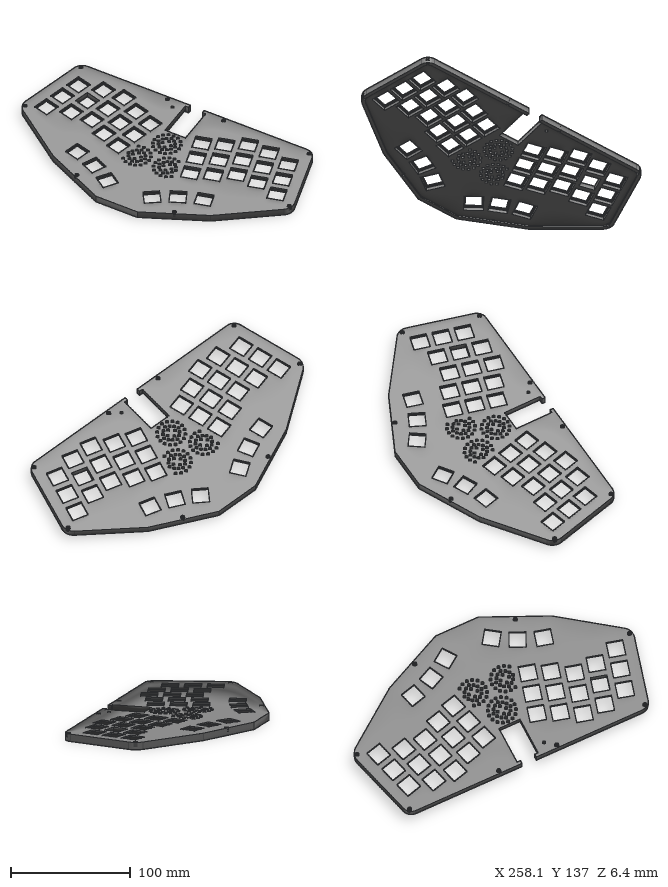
import cadquery as cq
import math

WIDTH = 258.09
DEPTH = 137.0
THICKNESS = 6.4
SIDE_ANGLE = 15.0
FRONT_FLAT_WIDTH = 39.6
FRONT_BEND = (75.4, -42.4)
FRONT_EDGE_ANGLE = 36.6
REAR_CORNER_RADIUS = 9.0
SIDE_CORNER_RADIUS = 10.8
TOP = THICKNESS / 2
REAR = DEPTH / 2

TAB_LENGTH = 3.0
RIM_WIDTH = TAB_LENGTH
RECESS_DEPTH = 1.6

NOTCH_WIDTH = 19.5
NOTCH_DEPTH = 37.3
MOUTH_WIDTH = 13.2

KEY_PITCH = 19.05
KEY_SIZE = 14.0
POCKET_SIZE = 16.5
WEB_THICKNESS = 1.5
KEY_TILT = 15.0
KEYS_PER_COLUMN = 3
INNER_KEY = (24.7, 32.55)
COLUMN_SHIFTS = (0.0, 2.54, 7.62, 2.54, -7.62)
THUMB_KEYS = ((60.55, -27.55, 15.0), (40.1, -35.5, 25.0), (21.4, -46.35, 35.0))
STRAIGHT_KEY = (-1, 3, 1)

GRILLE_HOLE = 2.5
SPOKE_STEP = 3.93
SPOKE_HOLES = 2
MIDDLE_RING_RADIUS = 7.0
MIDDLE_RING_ANGLES = (30.0, 60.0)
OUTER_RING_RADIUS = 3 * SPOKE_STEP
OUTER_RING_HOLES = 16
REAR_GRILLE = (0.0, 16.8)
SIDE_GRILLE = (14.7, -7.95)
OMITTED_HOLES = (-1, 0, 1, 2)

SCREWS = ((26.9, 65.7), (109.2, 64.8), (126.4, 0.4), (46.65, -53.15))
SCREW_THROUGH = 2.1
SCREW_ENTRY = 3.3
SCREW_UNDERCUT = 3.6
UNDERCUT_DEPTH = 3.1

SMALL_HOLE = 2.5
SMALL_HOLE_POSITION = (-18.5, 59.1)


def polar(centre, radius, angle):
    """Point at a distance and an angle in degrees from a centre."""
    turn = math.radians(angle)
    return (centre[0] + radius * math.cos(turn), centre[1] + radius * math.sin(turn))


def both_sides(points):
    """The points and their mirror images across the YZ plane."""
    return [(side * x, y) for x, y in points for side in (1, -1)]


def side_corner():
    """Sharp corner of side and front edge whose rounding just reaches the full width."""
    bend_x, bend_y = FRONT_BEND
    slope = math.radians(FRONT_EDGE_ANGLE)
    centre_x = WIDTH / 2 - SIDE_CORNER_RADIUS
    centre_y = bend_y + (centre_x - bend_x) * math.tan(slope) + SIDE_CORNER_RADIUS / math.cos(slope)
    front_normal = FRONT_EDGE_ANGLE - 90
    bisector = (SIDE_ANGLE + front_normal) / 2
    half_turn = math.radians(SIDE_ANGLE - front_normal) / 2
    return polar((centre_x, centre_y), SIDE_CORNER_RADIUS / math.cos(half_turn), bisector)


def make_plate():
    side = side_corner()
    rear = (side[0] - (REAR - side[1]) * math.tan(math.radians(SIDE_ANGLE)), REAR)
    right = [rear, side, FRONT_BEND, (FRONT_FLAT_WIDTH / 2, -REAR)]
    left = [(-x, y) for x, y in reversed(right)]
    plate = cq.Workplane().workplane(offset=-TOP).polyline(right + left).close().extrude(THICKNESS)
    for corner, radius in ((rear, REAR_CORNER_RADIUS), (side, SIDE_CORNER_RADIUS)):
        for x, y in both_sides([corner]):
            plate = plate.edges(cq.NearestToPointSelector((x, y, 0))).fillet(radius)
    return plate


def recess_cutters(plate):
    """Underside recess, following the plate outline inside the rim."""
    outline = plate.faces("<Z").wires().toPending().workplane(offset=0).offset2D(-RIM_WIDTH)
    return outline.extrude(-RECESS_DEPTH, combine=False).vals()


def box_cutter(x_size, y_size, x, y, tilt=0.0, top=TOP):
    """Box from the underside up to a height, turned about its own centre."""
    height = top + TOP
    box = cq.Workplane().box(x_size, y_size, height).rotate((0, 0, 0), (0, 0, 1), tilt)
    return box.translate((x, y, top - height / 2)).val()


def round_cutters(points, diameter, top=TOP, bottom=-TOP):
    column = cq.Workplane().workplane(offset=bottom).pushPoints(points)
    return column.circle(diameter / 2).extrude(top - bottom).vals()


def notch_cutters():
    inner_length = NOTCH_DEPTH - TAB_LENGTH
    inner_y = REAR - TAB_LENGTH - inner_length / 2
    mouth_y = REAR - TAB_LENGTH / 2
    return [
        box_cutter(NOTCH_WIDTH, inner_length, 0, inner_y),
        box_cutter(MOUTH_WIDTH, TAB_LENGTH, 0, mouth_y),
    ]


def column_key(column, row):
    """Centre of a key on the right side; columns count outwards and rows forwards."""
    along_row = polar(INNER_KEY, column * KEY_PITCH, KEY_TILT)
    return polar(along_row, COLUMN_SHIFTS[column] - row * KEY_PITCH, KEY_TILT + 90)


def key_cutters(x, y, tilt, has_pocket=True):
    cutters = [box_cutter(KEY_SIZE, KEY_SIZE, x, y, tilt)]
    if has_pocket:
        cutters.append(box_cutter(POCKET_SIZE, POCKET_SIZE, x, y, tilt, TOP - WEB_THICKNESS))
    return cutters


def all_key_cutters():
    cutters = []
    for side in (1, -1):
        for column in range(len(COLUMN_SHIFTS)):
            for row in range(KEYS_PER_COLUMN):
                x, y = column_key(column, row)
                has_pocket = (side, column, row) != STRAIGHT_KEY
                cutters += key_cutters(side * x, y, side * KEY_TILT, has_pocket)
        for x, y, tilt in THUMB_KEYS:
            cutters += key_cutters(side * x, y, side * tilt)
    return cutters


def grille_points(centre, omitted=()):
    points = []
    for spoke_angle in (0, 90, 180, 270):
        for i in range(SPOKE_HOLES):
            points.append(polar(centre, (i + 1) * SPOKE_STEP, spoke_angle))
        for angle in MIDDLE_RING_ANGLES:
            points.append(polar(centre, MIDDLE_RING_RADIUS, spoke_angle + angle))
    skipped = [i % OUTER_RING_HOLES for i in omitted]
    for i in range(OUTER_RING_HOLES):
        if i not in skipped:
            points.append(polar(centre, OUTER_RING_RADIUS, i * 360 / OUTER_RING_HOLES))
    return points


def grille_cutters():
    side_points = both_sides(grille_points(SIDE_GRILLE, OMITTED_HOLES))
    return round_cutters(grille_points(REAR_GRILLE) + side_points, GRILLE_HOLE)


def screw_cutters():
    points = both_sides(SCREWS)
    web_bottom = TOP - WEB_THICKNESS
    cutters = round_cutters(points, SCREW_THROUGH)
    cutters += round_cutters(points, SCREW_ENTRY, bottom=web_bottom)
    cutters += round_cutters(points, SCREW_UNDERCUT, top=web_bottom, bottom=TOP - UNDERCUT_DEPTH)
    return cutters


plate = make_plate()
cutters = recess_cutters(plate) + notch_cutters() + all_key_cutters()
cutters += grille_cutters() + screw_cutters()
cutters += round_cutters([SMALL_HOLE_POSITION], SMALL_HOLE)
result = cq.Workplane(plate.val().cut(*cutters).Solids()[0])